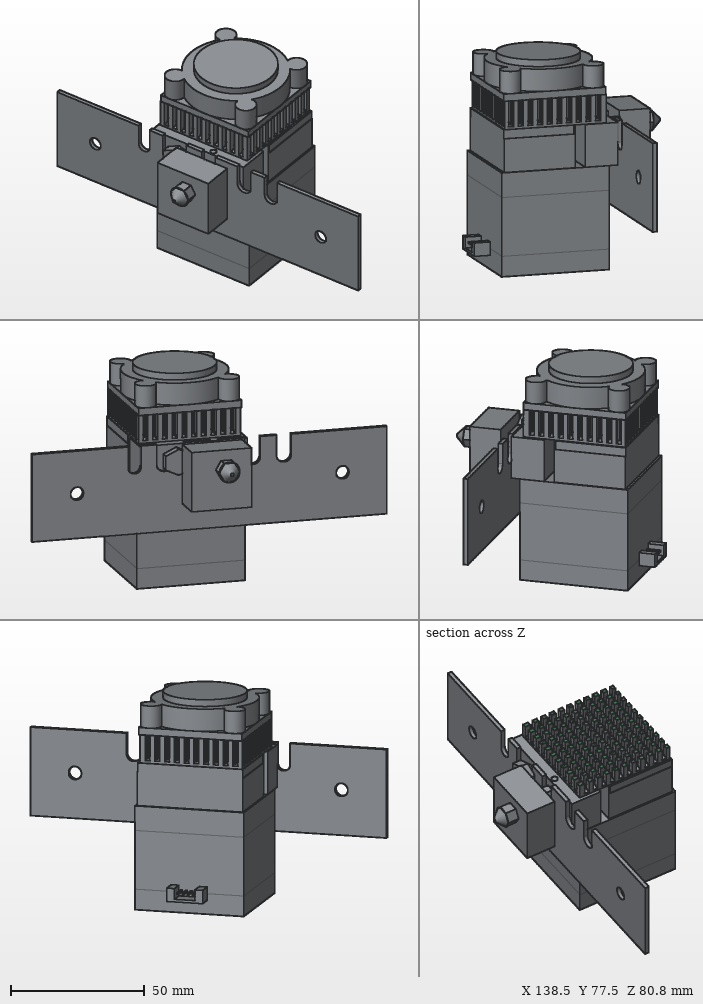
import cadquery as cq


MOTOR_SIDE = 42.3
MOTOR_SEAMS = (0.0, 8.0, 30.5, 39.8)
MOTOR_TOP = MOTOR_SEAMS[-1]

CONNECTOR_WIDTH = 14.0
CONNECTOR_LENGTH = 6.2
CONNECTOR_HEIGHT = 5.1
CONNECTOR_BOTTOM = 5.4
CONNECTOR_POCKET_WIDTH = 8.0
CONNECTOR_FLOOR = 1.0
PIN_COUNT = 4
PIN_PITCH = 2.0
PIN_SIDE = 0.6
PIN_LENGTH = 5.2

CARRIER_TOP = 56.1
FRONT_CARRIER_WIDTH = 42.0
REAR_CARRIER_WIDTH = 41.2
REAR_CARRIER_BACK = 20.1
REAR_CARRIER_FRONT = -7.9
SIDE_STEP_DEPTH = 0.15
SIDE_STEP_BOTTOM = 52.7
SIDE_STEP_FRONT = -7.3
FRONT_CARRIER_BACK = -11.7
FRONT_CARRIER_FRONT = -24.5

SINK_WIDTH = 39.9
SINK_CENTER_X = -0.3
SINK_CENTER_Y = -0.3
SINK_BASE_THICKNESS = 1.0
PIN_ROWS_TOP = 66.9
SLOT_COUNT = 10
SLOT_PITCH = 3.8
SLOT_WIDTH = 1.9
SLOTS_CENTER_X = -0.4
SLOTS_CENTER_Y = 0.1

FAN_CENTER_X = -0.05
FLANGE_SIDE = 40.2
FLANGE_TOP = 69.7
FAN_SIDE = 40.5
FAN_TOP = 78.2
POST_DIAMETER = 8.0
CAP_DIAMETER = 31.5
CAP_TOP = 80.8

PLATE_WIDTH = 138.5
PLATE_CENTER_X = 5.75
PLATE_THICKNESS = 1.7
PLATE_BOTTOM = 22.9
PLATE_HEIGHT = 33.9
PLATE_TOP = PLATE_BOTTOM + PLATE_HEIGHT
PLATE_FRONT = FRONT_CARRIER_FRONT - PLATE_THICKNESS
MOUNT_HOLE_DIAMETER = 5.0
MOUNT_HOLE_XS = (-46.0, 57.7)
MOUNT_HOLE_Z = 40.3
NOTCH_BOTTOM = 46.2

NOTCHES = (
    (-26.0, -21.0, 2.45),
    (-14.9, -4.1, 3.0),
    (3.0, 9.3, 3.1),
    (19.4, 25.6, 3.0),
    (31.9, 37.7, 2.85),
)

FEED_X = 5.8
FEED_Y = -22.6
FEED_DIAMETER = 2.45
FEED_DEPTH = 0.2
HOT_END_Z = 49.7
BREAK_ACROSS_CORNERS = 6.3
HEATER_LEFT = -6.0
HEATER_WIDTH = 23.4
HEATER_BOTTOM = 34.2
HEATER_HEIGHT = 23.0
HEATER_BACK = -29.9
HEATER_DEPTH = 12.1
HEATER_FRONT = HEATER_BACK - HEATER_DEPTH
NOZZLE_X = 7.4
NOZZLE_DIAMETER = 8.0
NOZZLE_HEX_LENGTH = 4.6
NOZZLE_TIP_Y = -50.1
NOZZLE_TIP_DIAMETER = 1.2

BOLT_X = -7.3
BOLT_Z = 50.3
BOLT_SHANK_DIAMETER = 6.0
BOLT_HEAD_WIDTH = 10.1
BOLT_HEAD_HEIGHT = 10.1
BOLT_HEAD_FLAT = 5.4
BOLT_HEAD_THICKNESS = 3.4


def box(x_range, y_range, z_range):
    """Axis-aligned box between pairs of limits."""
    size = [max(r) - min(r) for r in (x_range, y_range, z_range)]
    corner = (min(x_range), min(y_range), min(z_range))
    return cq.Workplane("XY").box(*size, centered=False).translate(corner)


def front_plane(x, y, z):
    """Sketch plane facing -Y; local axes run along +X and +Z."""
    return cq.Workplane(cq.Plane((x, y, z), xDir=(1, 0, 0), normal=(0, -1, 0)))


def upright_square(side, center_x, center_y, bottom, top):
    half = side / 2
    return box(
        (center_x - half, center_x + half), (center_y - half, center_y + half), (bottom, top)
    )


def centered_steps(count, pitch):
    return [(i - (count - 1) / 2) * pitch for i in range(count)]


def make_motor():
    motor = cq.Workplane("XY")
    for bottom, top in zip(MOTOR_SEAMS, MOTOR_SEAMS[1:]):
        motor = motor.union(upright_square(MOTOR_SIDE, 0, 0, bottom, top), clean=False)
    return motor


def make_connector():
    rear = MOTOR_SIDE / 2
    end = rear + CONNECTOR_LENGTH
    top = CONNECTOR_BOTTOM + CONNECTOR_HEIGHT
    half_width = CONNECTOR_WIDTH / 2
    half_pocket = CONNECTOR_POCKET_WIDTH / 2
    pocket_floor = CONNECTOR_BOTTOM + CONNECTOR_FLOOR
    shell = box((-half_width, half_width), (rear, end), (CONNECTOR_BOTTOM, top))
    connector = shell.cut(box((-half_pocket, half_pocket), (rear, end), (pocket_floor, top)))
    pin_z = (pocket_floor + top) / 2
    for x in centered_steps(PIN_COUNT, PIN_PITCH):
        pin = box(
            (x - PIN_SIDE / 2, x + PIN_SIDE / 2),
            (rear, rear + PIN_LENGTH),
            (pin_z - PIN_SIDE / 2, pin_z + PIN_SIDE / 2),
        )
        connector = connector.union(pin)
    return connector


def make_carrier():
    half_rear = REAR_CARRIER_WIDTH / 2
    half_step = half_rear - SIDE_STEP_DEPTH
    half_front = FRONT_CARRIER_WIDTH / 2
    height = (MOTOR_TOP, CARRIER_TOP)
    rear = box((-half_rear, half_rear), (REAR_CARRIER_FRONT, REAR_CARRIER_BACK), height)
    for side in (-1, 1):
        step = box(
            (side * half_step, side * half_rear),
            (SIDE_STEP_FRONT, REAR_CARRIER_BACK),
            (SIDE_STEP_BOTTOM, CARRIER_TOP),
        )
        rear = rear.cut(step)
    front = box((-half_front, half_front), (FRONT_CARRIER_FRONT, FRONT_CARRIER_BACK), height)
    feed_recess = (
        cq.Workplane("XY", origin=(FEED_X, FEED_Y, CARRIER_TOP - FEED_DEPTH))
        .circle(FEED_DIAMETER / 2)
        .extrude(FEED_DEPTH)
    )
    return rear.union(front.cut(feed_recess))


def make_heat_sink():
    slot_bottom = CARRIER_TOP + SINK_BASE_THICKNESS
    height = (slot_bottom, PIN_ROWS_TOP)
    half_slot = SLOT_WIDTH / 2
    reach = (-SINK_WIDTH, SINK_WIDTH)
    sink = upright_square(SINK_WIDTH, SINK_CENTER_X, SINK_CENTER_Y, CARRIER_TOP, PIN_ROWS_TOP)
    for step in centered_steps(SLOT_COUNT, SLOT_PITCH):
        x = SLOTS_CENTER_X + step
        y = SLOTS_CENTER_Y + step
        sink = sink.cut(box((x - half_slot, x + half_slot), reach, height))
        sink = sink.cut(box(reach, (y - half_slot, y + half_slot), height))
    return sink


def make_fan():
    post_spacing = FAN_SIDE - POST_DIAMETER
    flange = upright_square(FLANGE_SIDE, FAN_CENTER_X, 0, PIN_ROWS_TOP, FLANGE_TOP)
    base = cq.Workplane("XY", origin=(FAN_CENTER_X, 0, FLANGE_TOP))
    housing = base.circle(FAN_SIDE / 2).extrude(FAN_TOP - FLANGE_TOP)
    posts = (
        base.rect(post_spacing, post_spacing, forConstruction=True)
        .vertices()
        .circle(POST_DIAMETER / 2)
        .extrude(FAN_TOP - FLANGE_TOP)
    )
    cap = base.circle(CAP_DIAMETER / 2).extrude(CAP_TOP - FLANGE_TOP)
    return flange.union(housing).union(posts).union(cap)


def make_notch(left, right, radius):
    """Notch cutter, open at the top, with rounded lower corners."""
    cutter = box((left, right), (PLATE_FRONT, FRONT_CARRIER_FRONT), (NOTCH_BOTTOM, PLATE_TOP))
    return cutter.edges("|Y and <Z").fillet(radius)


def make_plate():
    half_width = PLATE_WIDTH / 2
    plate = box(
        (PLATE_CENTER_X - half_width, PLATE_CENTER_X + half_width),
        (PLATE_FRONT, FRONT_CARRIER_FRONT),
        (PLATE_BOTTOM, PLATE_TOP),
    )
    for left, right, radius in NOTCHES:
        plate = plate.cut(make_notch(left, right, radius))
    holes = (
        front_plane(0, FRONT_CARRIER_FRONT, MOUNT_HOLE_Z)
        .pushPoints([(x, 0) for x in MOUNT_HOLE_XS])
        .circle(MOUNT_HOLE_DIAMETER / 2)
        .extrude(PLATE_THICKNESS)
    )
    return plate.cut(holes)


def make_bolt():
    half_width = BOLT_HEAD_WIDTH / 2
    half_height = BOLT_HEAD_HEIGHT / 2
    half_flat = BOLT_HEAD_FLAT / 2
    head_outline = [
        (0, half_height),
        (half_width, half_flat),
        (half_width, -half_flat),
        (0, -half_height),
        (-half_width, -half_flat),
        (-half_width, half_flat),
    ]
    shank = (
        front_plane(BOLT_X, FRONT_CARRIER_FRONT, BOLT_Z)
        .circle(BOLT_SHANK_DIAMETER / 2)
        .extrude(PLATE_THICKNESS)
    )
    head = (
        front_plane(BOLT_X, PLATE_FRONT, BOLT_Z)
        .polyline(head_outline)
        .close()
        .extrude(BOLT_HEAD_THICKNESS)
    )
    return shank.union(head)


def make_nozzle():
    cone_y = HEATER_FRONT - NOZZLE_HEX_LENGTH
    hexagon = (
        front_plane(NOZZLE_X, HEATER_FRONT, HOT_END_Z)
        .polygon(6, NOZZLE_DIAMETER)
        .extrude(NOZZLE_HEX_LENGTH)
    )
    cone = (
        front_plane(NOZZLE_X, cone_y, HOT_END_Z)
        .circle(NOZZLE_DIAMETER / 2)
        .workplane(offset=cone_y - NOZZLE_TIP_Y)
        .circle(NOZZLE_TIP_DIAMETER / 2)
        .loft()
    )
    return hexagon.union(cone)


def make_hot_end():
    heat_break = (
        front_plane(FEED_X, FRONT_CARRIER_FRONT, HOT_END_Z)
        .polygon(6, BREAK_ACROSS_CORNERS)
        .extrude(FRONT_CARRIER_FRONT - HEATER_BACK)
    )
    heater = box(
        (HEATER_LEFT, HEATER_LEFT + HEATER_WIDTH),
        (HEATER_FRONT, HEATER_BACK),
        (HEATER_BOTTOM, HEATER_BOTTOM + HEATER_HEIGHT),
    )
    return heat_break.union(heater).union(make_nozzle())


result = (
    make_motor()
    .union(make_connector(), clean=False)
    .union(make_carrier(), clean=False)
    .union(make_heat_sink(), clean=False)
    .union(make_fan(), clean=False)
    .union(make_plate(), clean=False)
    .union(make_bolt(), clean=False)
    .union(make_hot_end(), clean=False)
)